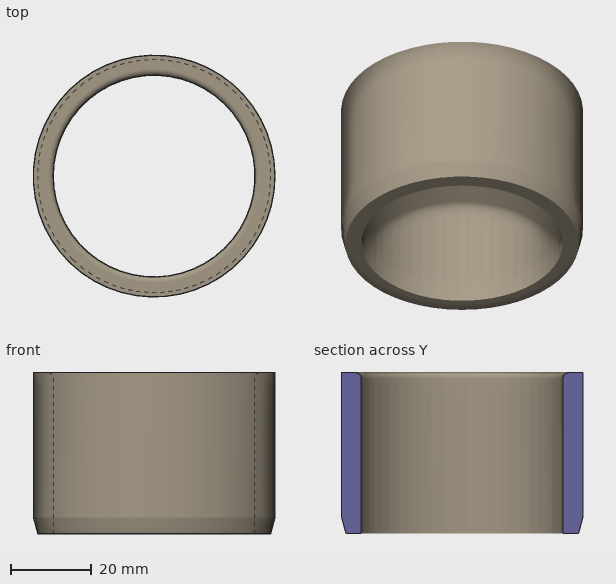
import cadquery as cq
import math

outer_diameter = 60.0
bore_diameter = 49.95
height = 40.0
lead_in_height = 4.0
lead_in_angle = 15.0
bore_rounding = 1.5

outer_radius = outer_diameter / 2
lead_in_radius = outer_radius - lead_in_height * math.tan(math.radians(lead_in_angle))

body = (
    cq.Workplane("XZ")
    .moveTo(0, 0)
    .lineTo(lead_in_radius, 0)
    .lineTo(outer_radius, lead_in_height)
    .lineTo(outer_radius, height)
    .lineTo(0, height)
    .close()
    .revolve(360, (0, 0, 0), (0, 1, 0))
)

bored = body.faces(">Z").workplane().hole(bore_diameter)
result = bored.faces(">Z").edges(cq.selectors.RadiusNthSelector(0)).fillet(bore_rounding)